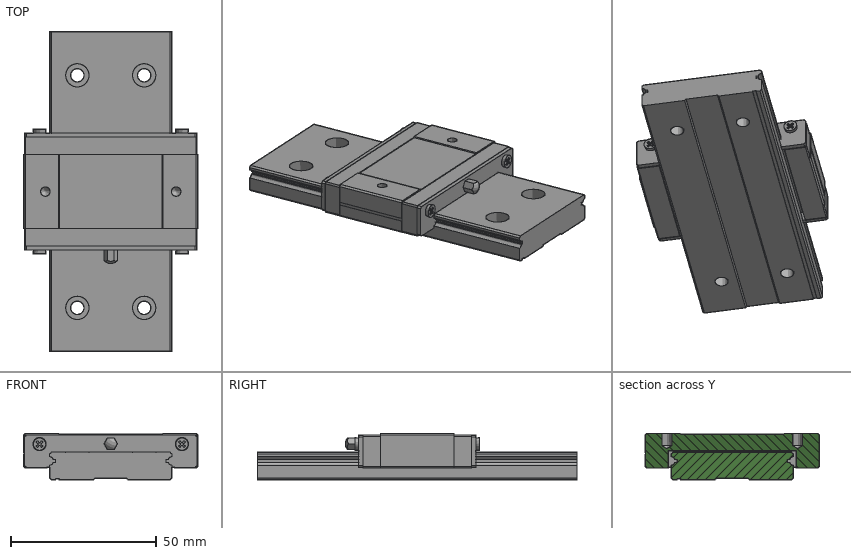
import cadquery as cq
import math

RAIL_WIDTH = 42.0
RAIL_HEIGHT = 9.5
RAIL_LENGTH = 110.0
RAIL_CHAMFER = 0.6
RACE_RADIUS = 1.5
RACE_Z = 6.5
RACE_OFFSET = 0.2
RELIEF_HALF_HEIGHT = 0.45
RELIEF_DEPTH = 2.0
BASE_RECESS_WIDTH = 12.0
BASE_RECESS_DEPTH = 0.5
BASE_RECESS_SLOPE = 0.5
MARK_X = -18.4
MARK_WIDTH = 1.2
MARK_DEPTH = 0.3
BOLT_DIAMETER = 4.5
BOLT_HEAD_DIAMETER = 8.0
BOLT_HEAD_DEPTH = 4.5
BOLT_PITCH_X = 23.0
BOLT_PITCH_Y = 80.0

TOTAL_HEIGHT = 16.0
CARRIAGE_BOTTOM = 4.0
BLOCK_WIDTH = 60.0
BLOCK_LENGTH = 25.4
BLOCK_CHAMFER = 0.6
TOP_RECESS_WIDTH = 36.0
TOP_RECESS_DEPTH = 0.3
SIDE_GROOVE_Z = 9.0
SIDE_GROOVE_HEIGHT = 1.0
SIDE_GROOVE_DEPTH = 0.1
TAPPED_HOLE_DIAMETER = 3.24
TAPPED_HOLE_DEPTH = 4.2
DRILL_POINT_ANGLE = 118.0
TAPPED_HOLE_PITCH = 45.0

CAP_WIDTH = 59.4
CAP_TOP = 15.5
CAP_END_Y = 18.7
CAP_CHAMFER_X = 0.4
CAP_CHAMFER_Z = 0.6

SEAL_END_Y = 20.15
SEAL_INSET = 0.1
SEAL_WIDTH = CAP_WIDTH - 2 * SEAL_INSET
SEAL_TOP = CAP_TOP - SEAL_INSET
SEAL_BOTTOM = 4.3
SEAL_CHAMFER = 0.6

OPENING_WIDTH = 44.0
OPENING_TOP = 10.0

SCREW_X = 24.5
SCREW_Z = 12.3
SCREW_HEAD_DIAMETER = 4.5
SCREW_SEAT_DIAMETER = 4.2
SCREW_HEAD_HEIGHT = 1.3
CROSS_LENGTH = 2.6
CROSS_WIDTH = 0.6
CROSS_DEPTH = 0.4

NIPPLE_Z = 12.4
NIPPLE_ACROSS_FLATS = 4.0
NIPPLE_LENGTH = 4.6
NIPPLE_DOME_RADIUS = 3.0


def extrude_along_y(outline, y_start, y_end):
    """Extrude an XZ outline between two Y positions."""
    return outline.extrude(-(y_end - y_start)).translate((0, y_start, 0))


def chamfered_section(width, bottom, top, cut_x, cut_z):
    """XZ rectangle centred on X = 0 with all four corners cut off."""
    half = width / 2
    right_side = [
        (half - cut_x, bottom),
        (half, bottom + cut_z),
        (half, top - cut_z),
        (half - cut_x, top),
    ]
    left_side = [(-x, z) for x, z in reversed(right_side)]
    return cq.Workplane("XZ").polyline(right_side + left_side).close()


def make_rail_bar():
    """Full-length rail profile, without the bolt holes."""
    half_length = RAIL_LENGTH / 2
    section = chamfered_section(RAIL_WIDTH, 0, RAIL_HEIGHT, RAIL_CHAMFER, RAIL_CHAMFER)
    bar = extrude_along_y(section, -half_length, half_length)

    for side in (-1, 1):
        edge_x = side * RAIL_WIDTH / 2
        race = cq.Workplane("XZ").center(edge_x + side * RACE_OFFSET, RACE_Z).circle(RACE_RADIUS)
        relief = cq.Workplane("XZ").center(edge_x, RACE_Z).rect(2 * RELIEF_DEPTH, 2 * RELIEF_HALF_HEIGHT)
        bar = bar.cut(extrude_along_y(race, -half_length, half_length))
        bar = bar.cut(extrude_along_y(relief, -half_length, half_length))

    half_recess = BASE_RECESS_WIDTH / 2
    half_roof = half_recess - BASE_RECESS_SLOPE
    recess = cq.Workplane("XZ").polyline([
        (-half_recess, 0),
        (-half_roof, BASE_RECESS_DEPTH),
        (half_roof, BASE_RECESS_DEPTH),
        (half_recess, 0),
    ]).close()
    bar = bar.cut(extrude_along_y(recess, -half_length, half_length))

    mark = cq.Workplane("XZ").center(MARK_X, 0).rect(MARK_WIDTH, 2 * MARK_DEPTH)
    return bar.cut(extrude_along_y(mark, -half_length, half_length))


def drill_rail(bar):
    """Counterbored bolt holes at the rail ends."""
    return (
        bar.faces(">Z").workplane(origin=(0, 0, RAIL_HEIGHT))
        .rarray(BOLT_PITCH_X, BOLT_PITCH_Y, 2, 2)
        .cboreHole(BOLT_DIAMETER, BOLT_HEAD_DIAMETER, BOLT_HEAD_DEPTH)
    )


def make_block():
    """Central block with a recessed top and a shallow groove along its -X side."""
    half_length = BLOCK_LENGTH / 2
    section = chamfered_section(BLOCK_WIDTH, CARRIAGE_BOTTOM, TOTAL_HEIGHT, BLOCK_CHAMFER, BLOCK_CHAMFER)
    block = extrude_along_y(section, -half_length, half_length)

    half_floor = TOP_RECESS_WIDTH / 2 - TOP_RECESS_DEPTH
    half_recess = TOP_RECESS_WIDTH / 2
    floor_z = TOTAL_HEIGHT - TOP_RECESS_DEPTH
    recess = cq.Workplane("XZ").polyline([
        (-half_recess, TOTAL_HEIGHT),
        (-half_floor, floor_z),
        (half_floor, floor_z),
        (half_recess, TOTAL_HEIGHT),
    ]).close()
    block = block.cut(extrude_along_y(recess, -half_length, half_length))

    side_x = -BLOCK_WIDTH / 2
    half_groove = SIDE_GROOVE_HEIGHT / 2
    groove = (
        cq.Workplane("XZ")
        .moveTo(side_x, SIDE_GROOVE_Z - half_groove)
        .threePointArc(
            (side_x + SIDE_GROOVE_DEPTH, SIDE_GROOVE_Z),
            (side_x, SIDE_GROOVE_Z + half_groove),
        )
        .close()
    )
    return block.cut(extrude_along_y(groove, -half_length, half_length))


def make_tapped_hole():
    """Blind drilled hole with a conical end, opening at Z = TOTAL_HEIGHT on the Z axis."""
    radius = TAPPED_HOLE_DIAMETER / 2
    point_depth = radius / math.tan(math.radians(DRILL_POINT_ANGLE / 2))
    wall_end = TOTAL_HEIGHT - TAPPED_HOLE_DEPTH
    return (
        cq.Workplane("XZ")
        .moveTo(0, TOTAL_HEIGHT)
        .lineTo(radius, TOTAL_HEIGHT)
        .lineTo(radius, wall_end)
        .lineTo(0, wall_end - point_depth)
        .close()
        .revolve(360, (0, 0, 0), (0, 1, 0))
    )


def make_screw_head(x, end):
    """Slightly tapered round screw head with a diagonal cross recess, on the seal at the -Y or +Y end."""
    head_end_y = SEAL_END_Y + SCREW_HEAD_HEIGHT
    head = (
        cq.Workplane("XZ", origin=(0, -SEAL_END_Y, 0))
        .circle(SCREW_SEAT_DIAMETER / 2)
        .workplane(offset=SCREW_HEAD_HEIGHT)
        .circle(SCREW_HEAD_DIAMETER / 2)
        .loft(ruled=True)
    )
    for angle in (45, -45):
        slot = extrude_along_y(
            cq.Workplane("XZ").rect(CROSS_LENGTH, CROSS_WIDTH), -head_end_y, -head_end_y + CROSS_DEPTH
        )
        head = head.cut(slot.rotate((0, 0, 0), (0, 1, 0), angle))
    if end > 0:
        head = head.mirror("XZ")
    return head.translate((x, 0, SCREW_Z))


def make_end_cap(end):
    """End cap between the block and the seal at the -Y or +Y end."""
    section = chamfered_section(CAP_WIDTH, CARRIAGE_BOTTOM, CAP_TOP, CAP_CHAMFER_X, CAP_CHAMFER_Z)
    inner_y, outer_y = sorted((end * BLOCK_LENGTH / 2, end * CAP_END_Y))
    return extrude_along_y(section, inner_y, outer_y)


def make_end_seal(end, rail_bar):
    """Seal plate that follows the rail profile, at the -Y or +Y end."""
    section = chamfered_section(SEAL_WIDTH, SEAL_BOTTOM, SEAL_TOP, SEAL_CHAMFER, SEAL_CHAMFER)
    inner_y, outer_y = sorted((end * CAP_END_Y, end * SEAL_END_Y))
    return extrude_along_y(section, inner_y, outer_y).cut(rail_bar)


def make_carriage(rail_bar):
    """Block, end caps, end seals and screw heads as one solid riding on the rail."""
    carriage = make_block()
    for end in (-1, 1):
        carriage = carriage.union(make_end_cap(end))

    opening = cq.Workplane("XY").box(OPENING_WIDTH, 2 * CAP_END_Y, 2 * OPENING_TOP)
    carriage = carriage.cut(opening)

    for end in (-1, 1):
        carriage = carriage.union(make_end_seal(end, rail_bar))
        for side in (-1, 1):
            carriage = carriage.union(make_screw_head(side * SCREW_X, end))

    for side in (-1, 1):
        carriage = carriage.cut(make_tapped_hole().translate((side * TAPPED_HOLE_PITCH / 2, 0, 0)))
    return carriage


def make_nipple():
    """Grease nipple standing on the -Y seal: a hexagon with a domed tip."""
    tip_y = -SEAL_END_Y - NIPPLE_LENGTH
    dome_centre_y = tip_y + NIPPLE_DOME_RADIUS
    across_corners = NIPPLE_ACROSS_FLATS / math.cos(math.pi / 6)

    hexagon = extrude_along_y(cq.Workplane("XZ").polygon(6, across_corners), tip_y, -SEAL_END_Y)
    dome = cq.Workplane("XZ", origin=(0, dome_centre_y, 0)).sphere(NIPPLE_DOME_RADIUS)
    shank = extrude_along_y(cq.Workplane("XZ").circle(NIPPLE_DOME_RADIUS), dome_centre_y, -SEAL_END_Y)
    return hexagon.intersect(dome.union(shank)).translate((0, 0, NIPPLE_Z))


rail_bar = make_rail_bar()
rail = drill_rail(rail_bar)
carriage = make_carriage(rail_bar)
nipple = make_nipple()

result = cq.Compound.makeCompound([rail.solids().val(), carriage.solids().val(), nipple.solids().val()])